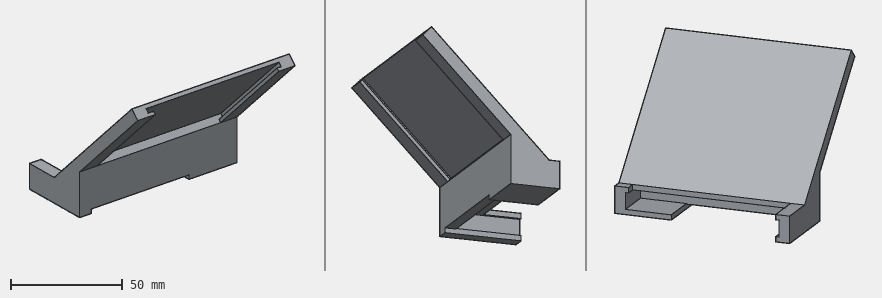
import cadquery as cq
import math

width = 89.7
base_length = 36.5
base_height = 12.9
ramp_start = 18.0
plate_rise = 56.4
plate_thickness = 6.0

channel_side_wall = 5.2
channel_floor = 2.5
channel_roof = 2.5
channel_back_wall = 5.2
back_gap_height = 2.2
lip_reach = 6.7
far_floor_reach = 27.4
far_arm_setback = 13.0

slot_front_skin = 2.1
slot_thickness = 2.2
slot_side_wall = 7.0
slot_mouth_near = 10.05
slot_mouth_far = 9.3

diagonal = math.sqrt(0.5)
plate_length = plate_rise / diagonal


def plate_point(along, across):
    """XZ point at a distance up the plate and a depth behind its front face."""
    return (
        ramp_start + (along + across) * diagonal,
        base_height + (along - across) * diagonal,
    )


def extrude_across(points, y_start, y_end):
    """Solid with an XZ outline, running from y_start to y_end."""
    outline = cq.Workplane("XZ", origin=(0, y_start, 0)).polyline(points).close()
    return outline.extrude(y_start - y_end)


def block(x_range, y_range, z_range):
    """Axis-aligned box between the given limits."""
    spans = [end - start for start, end in (x_range, y_range, z_range)]
    corner = (x_range[0], y_range[0], z_range[0])
    return cq.Workplane("XY").box(*spans, centered=False).translate(corner)


plate_back_at_foot = base_height + base_length - ramp_start - plate_thickness / diagonal
body = extrude_across(
    [
        (0, 0),
        (0, base_height),
        (ramp_start, base_height),
        plate_point(plate_length, 0),
        plate_point(plate_length, plate_thickness),
        (base_length, plate_back_at_foot),
        (base_length, 0),
    ],
    0,
    width,
)


def cut_foot_channel(part):
    """Hollow the foot, open its roof and floor, and shorten the +Y arm."""
    channel_end = base_length - channel_back_wall
    roof_underside = base_height - channel_roof
    lip_gap = (lip_reach, width - lip_reach)
    channel = block(
        (0, channel_end),
        (channel_side_wall, width - channel_side_wall),
        (channel_floor, roof_underside),
    )
    roof_opening = block((0, ramp_start), lip_gap, (roof_underside, base_height))
    floor_gap = (lip_reach, width - far_floor_reach)
    floor_opening = block((0, channel_end), floor_gap, (0, channel_floor))
    back_gap = block((channel_end, base_length), floor_gap, (0, back_gap_height))
    far_arm_end = block((0, far_arm_setback), (width / 2, width), (0, base_height))
    for void in (channel, roof_opening, floor_opening, back_gap, far_arm_end):
        part = part.cut(void)
    return part


def cut_plate_slot(part):
    """Cut the T-slot down the plate to where its back meets the foot."""
    slot_end = (base_length - ramp_start) / diagonal - plate_thickness

    def slab(depth_start, depth_end, y_start, y_end):
        corners = [
            plate_point(slot_end, depth_start),
            plate_point(plate_length, depth_start),
            plate_point(plate_length, depth_end),
            plate_point(slot_end, depth_end),
        ]
        return extrude_across(corners, y_start, y_end)

    slot_back = slot_front_skin + slot_thickness
    pocket = slab(slot_front_skin, slot_back, slot_side_wall, width - slot_side_wall)
    mouth = slab(slot_back, plate_thickness, slot_mouth_near, width - slot_mouth_far)
    return part.cut(pocket).cut(mouth)


result = cut_plate_slot(cut_foot_channel(body))